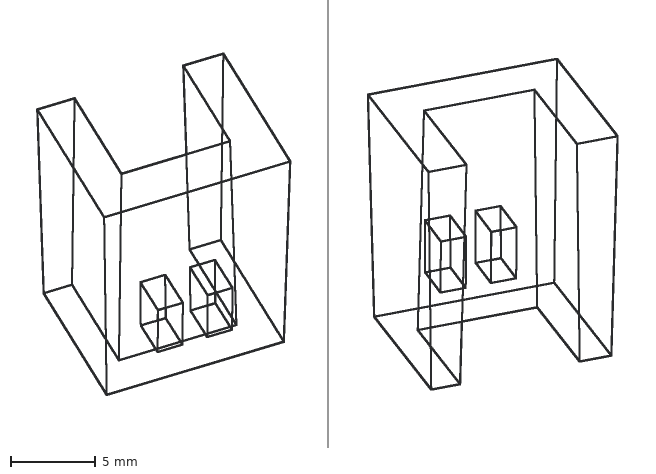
import cadquery as cq
import math

LENGTH_X = 10.0
WIDTH_Y = 12.0
HEIGHT = 15.0
DRAFT_ANGLE = 1.1

BACK_WALL = 3.0
CHANNEL_WIDTH = 7.0
CHANNEL_CENTER_Y = -0.09

SLOT_WIDTH = 1.6
SLOT_HEIGHT = 3.5
SLOT_SPACING = 3.2
SLOT_PAIR_CENTER_Y = -0.05
SLOT_BOTTOM_Z = 2.28

OVERRUN = 2.0

DRAFT_SLOPE = math.tan(math.radians(DRAFT_ANGLE))
DRAFT_OFFSET = HEIGHT * DRAFT_SLOPE
CHANNEL_BACK_X = LENGTH_X / 2 - BACK_WALL


def make_body():
    """Tapered block with its base on Z = 0, centred on the Z axis."""
    return (
        cq.Workplane("XY")
        .rect(LENGTH_X - 2 * DRAFT_OFFSET, WIDTH_Y - 2 * DRAFT_OFFSET)
        .workplane(offset=HEIGHT)
        .rect(LENGTH_X, WIDTH_Y)
        .loft(ruled=True)
    )


def channel_section(z, growth):
    """Rectangular channel outline at height z, grown on the back and both side walls."""
    front_x = -LENGTH_X / 2 - OVERRUN
    back_x = CHANNEL_BACK_X + growth
    center = cq.Vector((front_x + back_x) / 2, CHANNEL_CENTER_Y, z)
    outline = cq.Sketch().rect(back_x - front_x, CHANNEL_WIDTH + 2 * growth)
    return outline.moved(cq.Location(center))


def make_channel():
    """Cutter for the channel, wider and deeper at the base than at the top."""
    base = channel_section(0, DRAFT_OFFSET)
    top = channel_section(HEIGHT, 0)
    return cq.Workplane("XY").placeSketch(base, top).loft(ruled=True)


def make_slot(center_y):
    """Cutter for one slot, tilted by the draft angle to run square to the channel face."""
    mid_z = SLOT_BOTTOM_Z + SLOT_HEIGHT / 2
    face_x = CHANNEL_BACK_X + (HEIGHT - mid_z) * DRAFT_SLOPE
    slot_length = BACK_WALL + 2 * OVERRUN
    slot = cq.Workplane("XY").box(slot_length, SLOT_WIDTH, SLOT_HEIGHT)
    slot = slot.translate((slot_length / 2 - OVERRUN, 0, 0))
    slot = slot.rotate((0, 0, 0), (0, 1, 0), -DRAFT_ANGLE)
    return slot.translate((face_x, center_y, mid_z))


result = make_body().cut(make_channel())
for side in (-1, 1):
    result = result.cut(make_slot(SLOT_PAIR_CENTER_Y + side * SLOT_SPACING / 2))